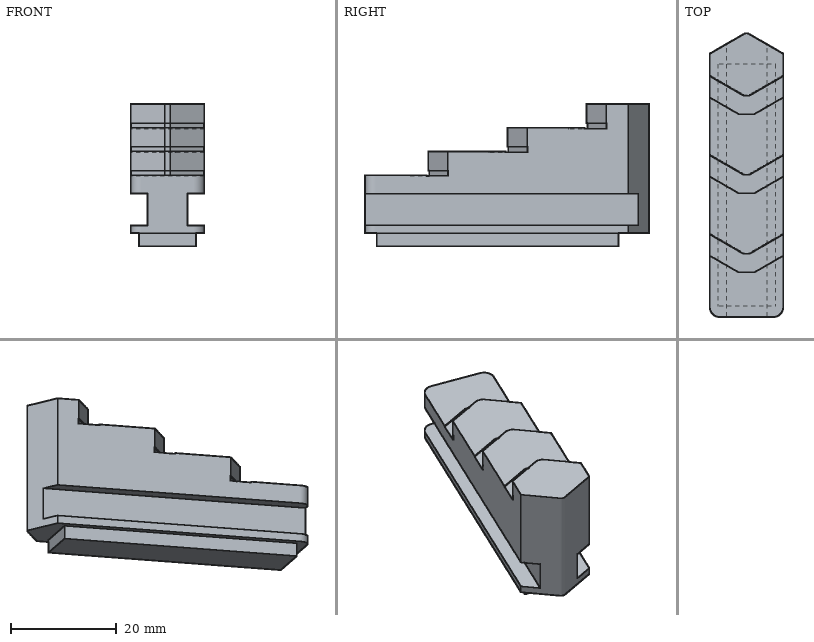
import cadquery as cq
import math

jaw_width = 14.0
half_width = jaw_width / 2
pointed_length = 54.0
rear_point_radius = 0.9
front_corner_radius = 2.0
flank_angle = math.radians(30)
point_slope = math.tan(flank_angle)

tongue_height = 2.5
flange_height = 1.5
slot_height = 6.0
lowest_tread_z = 13.5
step_rise = 4.5
step_count = 3
flange_top_z = tongue_height + flange_height
jaw_height = lowest_tread_z + step_count * step_rise

tongue_width = 10.9
tongue_front_y = 2.2
tongue_length = 45.9
web_width = 7.6

first_nose_y = 12.0
step_pitch = 15.0
nose_half_width = 0.54
relief_width = 3.5
relief_depth = 0.15
undercut_depth = 0.15
undercut_height = 1.0


def body():
    """Full-height bar with a pointed rear end and rounded front corners."""
    shoulder_y = pointed_length - half_width * point_slope
    bar = (
        cq.Workplane("XY")
        .workplane(offset=tongue_height)
        .polyline([
            (-half_width, 0),
            (half_width, 0),
            (half_width, shoulder_y),
            (0, pointed_length),
            (-half_width, shoulder_y),
        ])
        .close()
        .extrude(jaw_height - tongue_height)
    )
    bar = bar.edges("|Z and <Y").fillet(front_corner_radius)
    return bar.edges("|Z and >Y").fillet(rear_point_radius)


def v_line(nose_y, offset, edge_x):
    """Left-to-right points of a V face moved forward by offset, square to itself."""
    flat_y = nose_y - offset
    flat_half = nose_half_width + offset * math.tan(flank_angle / 2)
    edge_y = flat_y + (edge_x - flat_half) * point_slope
    return [(-edge_x, edge_y), (-flat_half, flat_y), (flat_half, flat_y), (edge_x, edge_y)]


def prism(points, bottom_z, height):
    """Upright prism standing on bottom_z over a closed outline."""
    return cq.Workplane("XY").workplane(offset=bottom_z).polyline(points).close().extrude(height)


def step_cut(nose_y, tread_z):
    """Everything removed in front of one V face: the step, its relief and its undercut."""
    face = v_line(nose_y, 0, half_width)
    front = [(half_width, 0), (-half_width, 0)]
    relief_edge = v_line(nose_y, relief_width, half_width)
    recess = v_line(nose_y, -undercut_depth, half_width - undercut_depth)
    relief_z = tread_z - relief_depth

    step = prism(face + front, tread_z, jaw_height - tread_z)
    relief = prism(face + relief_edge[::-1], relief_z, undercut_height)
    undercut = prism(face + recess[::-1], relief_z, undercut_height)
    return step.union(relief).union(undercut)


def side_slot(side):
    """Full-length guide slot in one flank; side is -1 or +1."""
    depth = (jaw_width - web_width) / 2
    return (
        cq.Workplane("XY")
        .box(depth, pointed_length, slot_height, centered=(True, False, False))
        .translate((side * (web_width + depth) / 2, 0, flange_top_z))
    )


def tongue():
    """Narrow rectangular tongue under the body."""
    return (
        cq.Workplane("XY")
        .box(tongue_width, tongue_length, tongue_height, centered=(True, False, False))
        .translate((0, tongue_front_y, 0))
    )


jaw = body()
for index in range(step_count):
    jaw = jaw.cut(step_cut(first_nose_y + index * step_pitch, lowest_tread_z + index * step_rise))
for side in (-1, 1):
    jaw = jaw.cut(side_slot(side))

result = jaw.union(tongue())